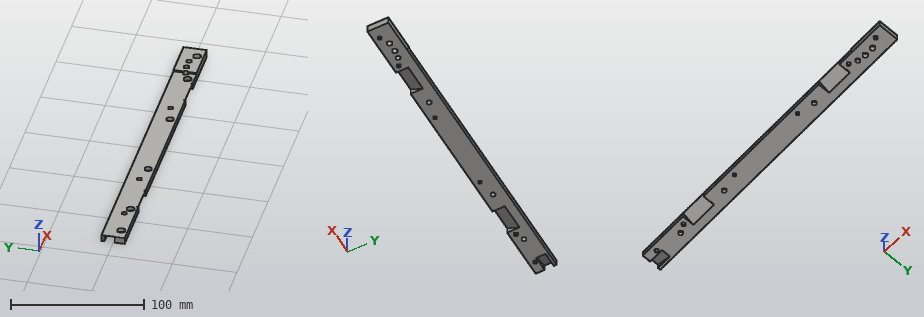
import cadquery as cq

length = 264.0
width = 18.0
total_height = 6.5
bar_height = 5.3
pad_start = 231.5

side_ramp_run = 10.5
side_ramp_length = 23.0
side_ramp_start = 45.0
end_ramp_run = 13.2
end_ramp_width = 8.0
end_ramp_start = 7.7

screw_y = 5.0
end_screw_offsets = (10.0, 40.0)
end_screw_diameter = 3.2
end_head_diameter = 6.0
middle_screw_offset = 97.0
middle_screw_diameter = 2.6
middle_head_diameter = 5.5
head_floor = 2.0

pin_y = 8.2
pin_offsets = (33.3, 81.8)
pin_diameter = 3.7
pad_hole_y = 9.2
pad_hole_positions = (237.9, 246.0)
pad_hole_diameter = 4.2


def block(x_start, x_end, height):
    """Full-width block standing on the base plane."""
    size = (x_end - x_start, width, height)
    return cq.Workplane("XY").box(*size, centered=False).translate((x_start, 0, 0))


def ramp(plane, run):
    """Triangular profile falling from the bar's top edge to the base plane."""
    return cq.Workplane(plane).polyline([(0, 0), (0, bar_height), (run, 0)]).close()


def cylinder(x, y, diameter, z_start=0.0):
    """Upright cylinder from z_start to the highest face of the part."""
    base = cq.Workplane("XY", origin=(x, y, z_start))
    return base.circle(diameter / 2).extrude(total_height - z_start)


def mirrored(offset):
    """The two X positions at this distance from either end."""
    return (offset, length - offset)


def counterbored_hole(x, hole_diameter, head_diameter):
    """Through hole with a head recess sunk to the common floor level."""
    hole = cylinder(x, screw_y, hole_diameter)
    return hole.union(cylinder(x, screw_y, head_diameter, head_floor))


result = block(0, length, bar_height)
result = result.union(block(pad_start, length, total_height))

for x_start in (side_ramp_start, length - side_ramp_start - side_ramp_length):
    side_ramp = ramp("YZ", side_ramp_run).extrude(side_ramp_length)
    result = result.cut(side_ramp.translate((x_start, 0, 0)))

end_ramp = ramp("XZ", end_ramp_run).extrude(-end_ramp_width)
result = result.cut(end_ramp.translate((0, end_ramp_start, 0)))

for offset in end_screw_offsets:
    for x in mirrored(offset):
        result = result.cut(counterbored_hole(x, end_screw_diameter, end_head_diameter))
for x in mirrored(middle_screw_offset):
    result = result.cut(counterbored_hole(x, middle_screw_diameter, middle_head_diameter))

for offset in pin_offsets:
    for x in mirrored(offset):
        result = result.cut(cylinder(x, pin_y, pin_diameter))
for x in pad_hole_positions:
    result = result.cut(cylinder(x, pad_hole_y, pad_hole_diameter))